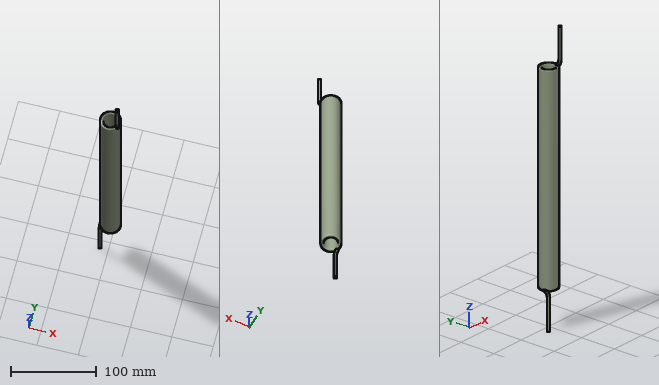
import cadquery as cq

total_length = 384.0
coil_length = 284.0
outer_diameter = 25.0
inner_diameter = 17.0
leg_diameter = 4.0
bend_radius = 8.5

wall_thickness = (outer_diameter - inner_diameter) / 2
end_radius = wall_thickness / 2
wall_offset = (outer_diameter - wall_thickness) / 2
end_turn_height = coil_length / 2 - end_radius
leg_start_height = end_turn_height + bend_radius
leg_length = total_length / 2 - leg_start_height


def make_coil():
    """Tube whose wall ends are fully rounded."""
    inner_radius = inner_diameter / 2
    outer_radius = outer_diameter / 2
    profile = (
        cq.Workplane("XZ")
        .moveTo(inner_radius, -end_turn_height)
        .threePointArc((wall_offset, -coil_length / 2), (outer_radius, -end_turn_height))
        .lineTo(outer_radius, end_turn_height)
        .threePointArc((wall_offset, coil_length / 2), (inner_radius, end_turn_height))
        .close()
    )
    return profile.revolve(360, (0, 0, 0), (0, 1, 0))


def make_leg(x, direction):
    """Quarter bend leaving the coil towards -Y, then a straight leg along +Z or -Z."""
    bend = (
        cq.Workplane("XZ", origin=(x, 0, direction * end_turn_height))
        .circle(leg_diameter / 2)
        .revolve(90, (0, direction * bend_radius, 0), (-direction, direction * bend_radius, 0))
    )
    straight = (
        cq.Workplane("XY", origin=(x, -bend_radius, direction * leg_start_height))
        .circle(leg_diameter / 2)
        .extrude(direction * leg_length)
    )
    return bend.union(straight)


upper_leg = make_leg(wall_offset, 1)
lower_leg = make_leg(-wall_offset, -1)
result = make_coil().union(upper_leg).union(lower_leg)